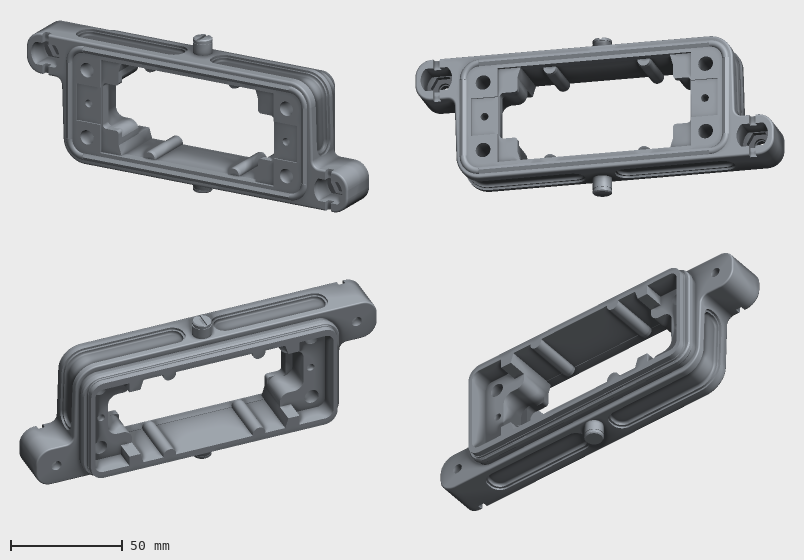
import cadquery as cq
import math

BEAD_CREST_Y = -15.0
BODY_FRONT_Y = -14.0
PLATE_BACK_Y = -12.5
LIP_BACK_Y = -9.4
STOP_BACK_Y = -7.5
BLOCK_BACK_Y = 5.2
BODY_BACK_Y = 6.1
GASKET_FRONT_Y = 8.2
GASKET_BACK_Y = 11.4
RIM_STEP_Y = 12.4
RIM_BACK_Y = 15.0

EAR_END_X = 83.0
BODY_TOP_Z = 29.15
SIDE_X_AT_EAR = 64.9
SIDE_X_AT_CORNER = 63.7
EAR_INNER_Z = 9.8
EAR_RADIUS = 7.6
NECK_RADIUS = 3.5
CORNER_RADIUS = 11.0
FRONT_EDGE_FILLET = 1.0
BACK_EDGE_FILLET = 0.7

BEAD_HALF_X = 60.7
BEAD_HALF_Z = 25.5
BEAD_RADIUS = 7.4
BEAD_WIDTH = 3.2

COLLAR_HALF_X = 61.9
COLLAR_HALF_Z = 26.4
COLLAR_RADIUS = 8.4
GASKET_LIP = 0.6
GASKET_CHAMFER = 0.7
RIM_HALF_X = 60.4
RIM_HALF_Z = 26.1
RIM_RADIUS = 6.8
RIM_STEP = 0.3
RIM_TAPER = 3.0

WINDOW_HALF_X = 44.8
WINDOW_HALF_Z = 22.2
FLOOR_HALF_Z = 22.4
STOP_HALF_X = 44.2
END_WALL_X = 47.6
HOOD_CAVITY_HALF_X = 58.0
HOOD_CAVITY_RADIUS = 4.0

BLOCK_INNER_X = 36.0
BLOCK_FOOT_X = 34.5
BLOCK_TOP_Z = 10.8
BLOCK_SLOPE_Z = 17.5
BLOCK_FRONT_NOSE_RADIUS = 1.5
BLOCK_NOSE_WIDTH = 4.5
BLOCK_NOSE_DROP = 3.8
BLOCK_ROOT_RADIUS = 4.7
STOP_ROOT_RADIUS = 1.8
FOOT_WIDTH = 5.4

RIB_FRONT_Y = -9.9
RIB_X = 21.75
RIB_RADIUS = 3.1
RIB_AXIS_Z = 21.9
RIB_TIP_LENGTH = 1.8
RIB_TIP_INSET = 0.25

SCREW_X = 51.5
SCREW_Z = 16.0
SCREW_DIAMETER = 6.8
PILOT_X = 51.0
PILOT_DIAMETER = 3.6
RECESS_OUTER_X = 57.0
RECESS_HALF_Z = 8.8
RECESS_DEPTH = 0.7

EAR_X = 73.1
EAR_Z = 19.5
POCKET_DIAMETER = 14.6
POCKET_HALF_Z = 5.3
POCKET_DEPTH = 12.0
HEX_FLATS = 9.8
HEX_DEPTH = 3.0
EAR_BORE_DIAMETER = 5.8
EAR_BORE_DEPTH = 1.5
EAR_HOLE_DIAMETER = 4.8
SLOT_WIDTH = 3.1
SLOT_DEPTH = 3.0

GRIP_Y = -3.2
GRIP_WIDTH = 12.4
GRIP_RADIUS = 5.4
GRIP_NEAR_X = 7.1
GRIP_FAR_X = 62.2
GRIP_SIDE_Z = 6.9
GRIP_DEPTH = 2.6
GRIP_MOUTH_INSET = 1.0
GRIP_MOUTH_DEPTH = 1.0
GRIP_FLOOR_FILLET = 1.0

PIN_DIAMETER = 8.8
PIN_Y = 0.5
PIN_END_Z = 36.45
PIN_CHAMFER = 0.5
PIN_GROOVE_Z = 34.3
PIN_GROOVE_WIDTH = 0.7
PIN_GROOVE_DEPTH = 0.25
PIN_SLOT_WIDTH = 1.6
PIN_SLOT_DEPTH = 0.8

FRONT_NOSE = (BLOCK_FRONT_NOSE_RADIUS, BLOCK_FRONT_NOSE_RADIUS)
REAR_NOSE = (BLOCK_NOSE_WIDTH, BLOCK_NOSE_DROP)
BLOCK_SECTIONS = [
    (FRONT_NOSE, STOP_HALF_X, STOP_ROOT_RADIUS, PLATE_BACK_Y, LIP_BACK_Y),
    (REAR_NOSE, STOP_HALF_X, STOP_ROOT_RADIUS, LIP_BACK_Y, STOP_BACK_Y),
    (REAR_NOSE, END_WALL_X, BLOCK_ROOT_RADIUS, STOP_BACK_Y, BLOCK_BACK_Y),
]

SIGNS = (-1, 1)
CORNERS = [(sx, sz) for sx in SIGNS for sz in SIGNS]


def plane_at(y):
    """Work plane at height y whose local axes are X and Z; extruding goes toward -Y."""
    return cq.Workplane("XZ", origin=(0, y, 0))


def block(x0, x1, y0, y1, z0, z1):
    return cq.Workplane("XY").box(x1 - x0, y1 - y0, z1 - z0, centered=False).translate((x0, y0, z0))


def rounded_block(half_x, half_z, radius, y0, y1):
    return block(-half_x, half_x, y0, y1, -half_z, half_z).edges("|Y").fillet(radius)


def with_half_turn(shape):
    """The shape joined with its copy turned 180 degrees about the Y axis."""
    return shape.union(shape.rotate((0, 0, 0), (0, 1, 0), 180))


def rounded_prism(corners, y0, y1):
    """Prism between y0 and y1 over a polygon of (x, z, corner radius) points."""
    arcs = []
    count = len(corners)
    for i, (x, z, radius) in enumerate(corners):
        here = cq.Vector(x, z)
        to_last = (cq.Vector(*corners[i - 1][:2]) - here).normalized()
        to_next = (cq.Vector(*corners[(i + 1) % count][:2]) - here).normalized()
        half_angle = to_last.getAngle(to_next) / 2
        reach = radius / math.tan(half_angle)
        corner_gap = radius / math.sin(half_angle) - radius
        middle = here + (to_last + to_next).normalized() * corner_gap
        arcs.append((here + to_last * reach, middle, here + to_next * reach))
    outline = plane_at(y1).moveTo(*arcs[0][2].toTuple()[:2])
    for start, middle, end in arcs[1:] + arcs[:1]:
        outline = outline.lineTo(*start.toTuple()[:2])
        outline = outline.threePointArc(middle.toTuple()[:2], end.toTuple()[:2])
    return outline.close().extrude(y1 - y0)


def body_prism(inset, y0, y1):
    """Body outline, moved inward by the given inset on every side."""
    top = BODY_TOP_Z - inset
    half = [
        (-EAR_END_X + inset, top, EAR_RADIUS - inset),
        (-EAR_END_X + inset, EAR_INNER_Z + inset, EAR_RADIUS - inset),
        (-SIDE_X_AT_EAR + inset, EAR_INNER_Z + inset, NECK_RADIUS + inset),
        (-SIDE_X_AT_CORNER + inset, -top, CORNER_RADIUS - inset),
    ]
    other_half = [(-x, -z, radius) for x, z, radius in half]
    return rounded_prism(half + other_half, y0, y1)


def make_body():
    body = body_prism(0, BODY_FRONT_Y, BODY_BACK_Y)
    body = body.faces("<Y").edges().fillet(FRONT_EDGE_FILLET)
    return body.faces(">Y").edges().fillet(BACK_EDGE_FILLET)


def make_bead():
    """Bead along a rounded rectangle: ridged on the straight sides, round-topped at the corners."""
    corner_x = BEAD_HALF_X - BEAD_RADIUS
    corner_z = BEAD_HALF_Z - BEAD_RADIUS
    half_width = BEAD_WIDTH / 2
    round_profile = (
        cq.Workplane("YZ", origin=(corner_x, 0, 0))
        .moveTo(BODY_FRONT_Y, BEAD_HALF_Z - half_width)
        .threePointArc((BEAD_CREST_Y, BEAD_HALF_Z), (BODY_FRONT_Y, BEAD_HALF_Z + half_width))
        .close()
    )
    corner = round_profile.revolve(90, (0, corner_z, 0), (1, corner_z, 0))
    ridge = [(-half_width, BODY_FRONT_Y), (0, BEAD_CREST_Y), (half_width, BODY_FRONT_Y)]
    top_points = [(y, BEAD_HALF_Z + offset) for offset, y in ridge]
    top = cq.Workplane("YZ").polyline(top_points).close().extrude(corner_x)
    side_points = [(BEAD_HALF_X + offset, y) for offset, y in ridge]
    side = cq.Workplane("XY").polyline(side_points).close().extrude(corner_z)
    quarter = corner.union(top).union(side)
    half = quarter.union(quarter.mirror("XY"))
    return half.union(half.mirror("YZ"))


def make_hood_side():
    """Collar, sealing gasket and tapered rim behind the body."""
    collar = rounded_block(COLLAR_HALF_X, COLLAR_HALF_Z, COLLAR_RADIUS, BODY_BACK_Y, GASKET_BACK_Y)
    gasket = rounded_block(
        COLLAR_HALF_X + GASKET_LIP,
        COLLAR_HALF_Z + GASKET_LIP,
        COLLAR_RADIUS + GASKET_LIP,
        GASKET_FRONT_Y,
        GASKET_BACK_Y,
    )
    gasket = gasket.faces("<Y or >Y").edges().chamfer(GASKET_CHAMFER)
    step = rounded_block(RIM_HALF_X, RIM_HALF_Z, RIM_RADIUS, GASKET_BACK_Y, RIM_STEP_Y)
    rim_outline = cq.Sketch().rect(2 * (RIM_HALF_X - RIM_STEP), 2 * (RIM_HALF_Z - RIM_STEP))
    rim_outline = rim_outline.vertices().fillet(RIM_RADIUS - RIM_STEP)
    rim = plane_at(RIM_STEP_Y).placeSketch(rim_outline).extrude(RIM_STEP_Y - RIM_BACK_Y, taper=RIM_TAPER)
    return collar.union(gasket).union(step).union(rim)


def window_cutter():
    """Clear opening from the panel face through to the wider hood cavity."""
    mouth = block(
        -WINDOW_HALF_X, WINDOW_HALF_X, BEAD_CREST_Y, PLATE_BACK_Y, -WINDOW_HALF_Z, WINDOW_HALF_Z
    )
    between_lips = block(
        -STOP_HALF_X, STOP_HALF_X, PLATE_BACK_Y, LIP_BACK_Y, -WINDOW_HALF_Z, WINDOW_HALF_Z
    )
    between_stops = block(-STOP_HALF_X, STOP_HALF_X, LIP_BACK_Y, STOP_BACK_Y, -FLOOR_HALF_Z, FLOOR_HALF_Z)
    middle = block(-END_WALL_X, END_WALL_X, STOP_BACK_Y, BLOCK_BACK_Y, -FLOOR_HALF_Z, FLOOR_HALF_Z)
    hood = rounded_block(HOOD_CAVITY_HALF_X, FLOOR_HALF_Z, HOOD_CAVITY_RADIUS, BLOCK_BACK_Y, RIM_BACK_Y)
    return mouth.union(between_lips).union(between_stops).union(middle).union(hood)


def corner_block(side_x, side_z, nose, wall_x, root_radius, y0, y1):
    """Window corner block whose nose arc runs level into its top; a root fillet joins the end wall."""
    root_x = wall_x - root_radius
    blend = root_radius * (1 - math.sqrt(0.5))
    width, drop = nose
    nose_radius = (width**2 + drop**2) / (2 * drop)
    half_sweep = math.asin(width / nose_radius) / 2
    nose_middle_x = BLOCK_INNER_X + width - nose_radius * math.sin(half_sweep)
    nose_middle_z = BLOCK_TOP_Z + nose_radius * (1 - math.cos(half_sweep))
    outline = (
        plane_at(y1)
        .moveTo(side_x * BLOCK_FOOT_X, side_z * FLOOR_HALF_Z)
        .lineTo(side_x * BLOCK_INNER_X, side_z * BLOCK_SLOPE_Z)
        .lineTo(side_x * BLOCK_INNER_X, side_z * (BLOCK_TOP_Z + drop))
        .threePointArc(
            (side_x * nose_middle_x, side_z * nose_middle_z),
            (side_x * (BLOCK_INNER_X + width), side_z * BLOCK_TOP_Z),
        )
        .lineTo(side_x * root_x, side_z * BLOCK_TOP_Z)
        .threePointArc(
            (side_x * (wall_x - blend), side_z * (BLOCK_TOP_Z - blend)),
            (side_x * wall_x, side_z * (BLOCK_TOP_Z - root_radius)),
        )
        .lineTo(side_x * wall_x, side_z * FLOOR_HALF_Z)
        .close()
    )
    return outline.extrude(y1 - y0)


def block_foot(side_x, side_z):
    """Sloped foot that carries the corner block's base on to the hood end."""
    outer_x = BLOCK_INNER_X + FOOT_WIDTH
    points = [
        (BLOCK_FOOT_X, FLOOR_HALF_Z),
        (BLOCK_INNER_X, BLOCK_SLOPE_Z),
        (outer_x, BLOCK_SLOPE_Z),
        (outer_x, FLOOR_HALF_Z),
    ]
    outline = plane_at(RIM_BACK_Y).polyline([(side_x * x, side_z * z) for x, z in points]).close()
    return outline.extrude(RIM_BACK_Y - BLOCK_BACK_Y)


def guide_rib(side_x, side_z):
    length = RIM_BACK_Y - RIB_FRONT_Y
    rod = plane_at(RIM_BACK_Y).center(side_x * RIB_X, side_z * RIB_AXIS_Z).circle(RIB_RADIUS)
    return rod.extrude(length).faces("<Y").edges().chamfer(RIB_TIP_LENGTH, RIB_TIP_INSET)


def end_plate_cutter():
    """Screw holes, pilot holes and shallow recesses in both end plates."""
    depth = RIM_BACK_Y - BEAD_CREST_Y
    screw_points = [(sx * SCREW_X, sz * SCREW_Z) for sx, sz in CORNERS]
    holes = plane_at(RIM_BACK_Y).pushPoints(screw_points).circle(SCREW_DIAMETER / 2).extrude(depth)
    pilot_points = [(sx * PILOT_X, 0) for sx in SIGNS]
    pilots = plane_at(RIM_BACK_Y).pushPoints(pilot_points).circle(PILOT_DIAMETER / 2).extrude(depth)
    recess = block(
        -RECESS_OUTER_X,
        RECESS_OUTER_X,
        BODY_FRONT_Y,
        BODY_FRONT_Y + RECESS_DEPTH,
        -RECESS_HALF_Z,
        RECESS_HALF_Z,
    )
    return holes.union(pilots).union(recess)


def ear_cutter():
    """Fixing pocket of the upper left ear, opening on the panel face."""
    hex_top = BODY_FRONT_Y + POCKET_DEPTH
    bore_top = hex_top + HEX_DEPTH
    hole_top = bore_top + EAR_BORE_DEPTH
    pocket = plane_at(hex_top).center(-EAR_X, EAR_Z).circle(POCKET_DIAMETER / 2).extrude(POCKET_DEPTH)
    flats = plane_at(hex_top).center(-EAR_X, EAR_Z).rect(POCKET_DIAMETER, 2 * POCKET_HALF_Z)
    pocket = pocket.intersect(flats.extrude(POCKET_DEPTH))
    hex_corners = HEX_FLATS / math.cos(math.pi / 6)
    seat = plane_at(bore_top).center(-EAR_X, EAR_Z).polygon(6, hex_corners).extrude(HEX_DEPTH)
    bore = plane_at(hole_top).center(-EAR_X, EAR_Z).circle(EAR_BORE_DIAMETER / 2).extrude(EAR_BORE_DEPTH)
    hole = plane_at(BODY_BACK_Y).center(-EAR_X, EAR_Z).circle(EAR_HOLE_DIAMETER / 2)
    hole = hole.extrude(BODY_BACK_Y - hole_top)
    slot = block(
        -EAR_X - SLOT_WIDTH / 2,
        -EAR_X + SLOT_WIDTH / 2,
        BODY_FRONT_Y,
        BODY_FRONT_Y + SLOT_DEPTH,
        EAR_INNER_Z,
        BODY_TOP_Z,
    )
    return pocket.union(seat).union(bore).union(hole).union(slot)


def top_footprint(x0, x1, inset, z0, z1):
    """Upright bar over a grip pocket on the top wall, rounded as seen along Z."""
    bar = block(
        x0 + inset,
        x1 - inset,
        GRIP_Y - GRIP_WIDTH / 2 + inset,
        GRIP_Y + GRIP_WIDTH / 2 - inset,
        z0,
        z1,
    )
    return bar.edges("|Z").fillet(GRIP_RADIUS - inset)


def closed_grip(inset, depth):
    """Closed grip pocket on the top wall, left of the pin."""
    return top_footprint(-GRIP_FAR_X, -GRIP_NEAR_X, inset, BODY_TOP_Z - depth, BODY_TOP_Z)


def wrapped_grip(inset, depth):
    """Grip pocket right of the pin that runs around the corner and down the side wall."""
    shell = body_prism(0, BODY_FRONT_Y, BODY_BACK_Y).cut(body_prism(depth, BODY_FRONT_Y, BODY_BACK_Y))
    along_top = top_footprint(GRIP_NEAR_X, EAR_END_X, inset, 0, BODY_TOP_Z)
    corner_x = SIDE_X_AT_CORNER - CORNER_RADIUS
    along_top = along_top.intersect(block(0, corner_x, BODY_FRONT_Y, BODY_BACK_Y, 0, BODY_TOP_Z))
    half_width = GRIP_WIDTH / 2 - inset
    along_side = block(
        corner_x,
        EAR_END_X,
        GRIP_Y - half_width,
        GRIP_Y + half_width,
        -GRIP_SIDE_Z + inset,
        BODY_TOP_Z,
    )
    along_side = along_side.edges("|X and <Z").fillet(GRIP_RADIUS - inset)
    return shell.intersect(along_top.union(along_side))


def grip_cutter():
    cutter = closed_grip(0, GRIP_MOUTH_DEPTH)
    floor = closed_grip(GRIP_MOUTH_INSET, GRIP_DEPTH).faces("<Z").edges().fillet(GRIP_FLOOR_FILLET)
    cutter = cutter.union(floor)
    cutter = cutter.union(wrapped_grip(0, GRIP_MOUTH_DEPTH))
    wrapped_floor = wrapped_grip(GRIP_MOUTH_INSET, GRIP_DEPTH)
    floor_z = BODY_TOP_Z - GRIP_DEPTH
    floor_middle_x = (GRIP_NEAR_X + SIDE_X_AT_CORNER - CORNER_RADIUS) / 2
    floor_face = cq.selectors.NearestToPointSelector((floor_middle_x, GRIP_Y, floor_z))
    wrapped_floor = wrapped_floor.faces(floor_face).edges("not |Y").fillet(GRIP_FLOOR_FILLET)
    return cutter.union(wrapped_floor)


def make_pin():
    """Upper locking pin, rooted in the top wall."""
    radius = PIN_DIAMETER / 2
    base = cq.Workplane("XY", origin=(0, PIN_Y, FLOOR_HALF_Z))
    pin = base.circle(radius).extrude(PIN_END_Z - FLOOR_HALF_Z).faces(">Z").edges().chamfer(PIN_CHAMFER)
    groove = cq.Workplane("XY", origin=(0, PIN_Y, PIN_GROOVE_Z)).circle(radius)
    groove = groove.circle(radius - PIN_GROOVE_DEPTH).extrude(PIN_GROOVE_WIDTH)
    return pin.cut(groove)


def pin_slot():
    return block(
        -PIN_SLOT_WIDTH / 2,
        PIN_SLOT_WIDTH / 2,
        PIN_Y - PIN_DIAMETER,
        PIN_Y + PIN_DIAMETER,
        PIN_END_Z - PIN_SLOT_DEPTH,
        PIN_END_Z,
    )


result = make_body().union(make_bead()).union(make_hood_side())
result = result.cut(window_cutter())
for sx, sz in CORNERS:
    for nose, wall, root, front, back in BLOCK_SECTIONS:
        result = result.union(corner_block(sx, sz, nose, wall, root, front, back))
    result = result.union(block_foot(sx, sz))
    result = result.union(guide_rib(sx, sz))
result = result.cut(end_plate_cutter())
result = result.cut(with_half_turn(ear_cutter()))
result = result.cut(with_half_turn(grip_cutter()))
result = result.union(with_half_turn(make_pin())).cut(pin_slot())